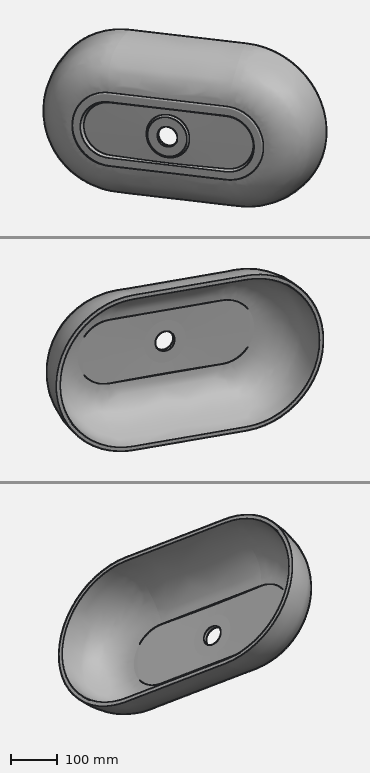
import cadquery as cq
import math

rim_length = 625.0
rim_height = 360.0
total_depth = 140.0

foot_rise = 5.0
body_depth = total_depth - foot_rise
curve_inset = 97.0
side_exponent = 2.0
end_exponent = 2.7
section_angles = (0, 15, 30, 45, 60, 75, 90)

foot_length = rim_length - 2 * curve_inset
foot_height = rim_height - 2 * curve_inset
foot_round = 3.0
ring_width = 19.5
recess_depth = 9.0
floor_slope_rise = 4.5
recess_taper = 30

boss_top_diameter = 89.0
boss_base_diameter = 97.5
boss_rise = 4.5
drain_diameter = 45.0

wall_thickness = 9.5
floor_thickness = 5.0
cavity_depth = total_depth - recess_depth - floor_thickness


def plane_at(depth):
    """Workplane facing -Y at the given depth below the rim."""
    return cq.Workplane("XZ", origin=(0, -depth, 0))


def stadium(plane, length, height):
    return plane.slot2D(length, height)


def inset_at(fraction, exponent):
    """Distance of the wall from the rim outline at a fraction of the bowl depth."""
    return curve_inset * (1 - math.sqrt(1 - fraction**exponent))


def make_bowl(top_length, top_height, depth):
    """Loft stadium sections that shrink along the wall curve."""
    wires = []
    for angle in section_angles:
        fraction = math.sin(math.radians(angle))
        length = top_length - 2 * inset_at(fraction, end_exponent)
        height = top_height - 2 * inset_at(fraction, side_exponent)
        wires.append(stadium(plane_at(depth * fraction), length, height).val())
    return cq.Workplane(cq.Solid.makeLoft(wires))


def make_floor_cone(base_depth):
    """Shallow cone that brings a floor down towards the drain."""
    base = plane_at(base_depth).circle(foot_length / 2 - ring_width)
    return base.workplane(offset=floor_slope_rise).circle(boss_base_diameter / 2).loft()


def make_cavity():
    """Bowl open at the rim, its floor falling gently to the drain."""
    length = rim_length - 2 * wall_thickness
    height = rim_height - 2 * wall_thickness
    bowl = make_bowl(length, height, cavity_depth)
    floor_outline = stadium(plane_at(cavity_depth), length - 2 * curve_inset, height - 2 * curve_inset)
    sump = floor_outline.extrude(floor_slope_rise).intersect(make_floor_cone(cavity_depth))
    return bowl.union(sump)


def make_foot():
    foot = stadium(plane_at(body_depth), foot_length, foot_height).extrude(foot_rise)
    return foot.faces("<Y").edges().fillet(foot_round)


def make_recess():
    """Pocket narrowing towards its sloped floor."""
    opening_length = foot_length - 2 * ring_width
    opening_height = foot_height - 2 * ring_width
    opening = stadium(plane_at(total_depth), opening_length, opening_height)
    pocket = opening.extrude(-recess_depth, taper=recess_taper)
    return pocket.cut(make_floor_cone(total_depth - recess_depth))


def make_boss():
    """Tapered boss rising from the recess floor."""
    floor = plane_at(total_depth - recess_depth + floor_slope_rise)
    base = floor.circle(boss_base_diameter / 2)
    return base.workplane(offset=boss_rise).circle(boss_top_diameter / 2).loft()


def make_drain():
    return plane_at(0).circle(drain_diameter / 2).extrude(total_depth)


body = make_bowl(rim_length, rim_height, body_depth).union(make_foot())
underside = body.cut(make_recess()).union(make_boss())
result = underside.cut(make_cavity()).cut(make_drain())